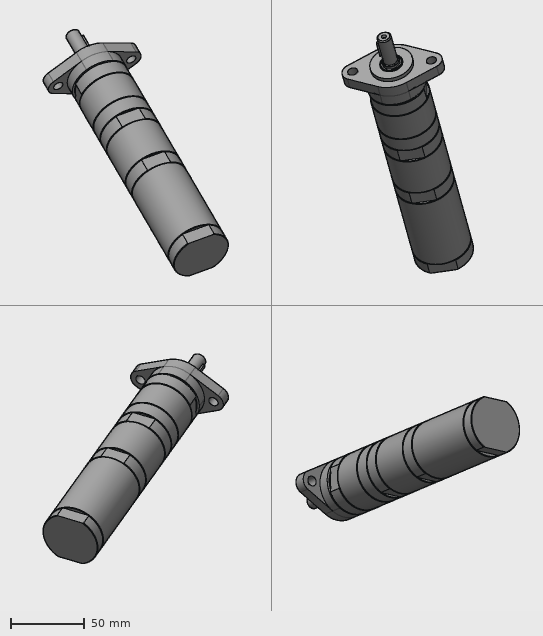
import cadquery as cq
import math

total_length = 211.2
body_d = 41.5
body_r = body_d / 2

shaft_d = 10.0
shaft_chamfer = 0.8
center_hole_d = 1.6
center_mouth_d = 3.4
center_mouth_angle = 60.0
center_hole_depth = 3.2
cone_start = 23.0
cone_d = 11.5
collar_start = 23.7
collar_d = 12.0
key_start = 4.6
key_length = 12.9
key_width = 3.0
key_top = 6.1

pilot_start = 25.8
pilot_d = 30.0
ring_inner_d = 14.4
ring_outer_d = 16.0
ring_depth = 0.5

flange_start = 28.7
flange_thickness = 8.5
flange_end = flange_start + flange_thickness
flange_span = 70.0
bolt_offset = 27.5
bolt_hole_d = 7.0
lobe_r = flange_span / 2 - bolt_offset

neck_start = 45.5
neck_width = 1.0
neck_d = 38.0
seam_width = 0.5
seam_d = 40.5
rear_chamfer = 0.5

wrench_length = 10.1
wrench_across_flats = 37.5
side_wrench_start = neck_start + neck_width
first_top_wrench_start = 90.8
second_top_wrench_start = 132.2
plain_seam_start = 79.2
cap_start = 202.1
cap_across_flats = 36.3


def cylinder(diameter, start, end):
    """Solid cylinder on the X axis between two stations."""
    return cq.Workplane("YZ", origin=(start, 0, 0)).circle(diameter / 2).extrude(end - start)


def tube(inner_d, outer_d, start, length):
    """Ring of material on the X axis, used as a groove cutter."""
    return cylinder(outer_d, start, start + length).cut(cylinder(inner_d, start, start + length))


def flat_cutter(start, length, across_flats, turn=0):
    """Two slabs that leave parallel flats; they face +Z and -Z before the turn about X."""
    middle = (start + length / 2, 0, 0)
    outside = cq.Workplane("XY", origin=middle).box(length, 2 * body_d, 2 * body_d)
    kept = cq.Workplane("XY", origin=middle).box(length, 2 * body_d, across_flats)
    return outside.cut(kept).rotate((0, 0, 0), (1, 0, 0), turn)


def make_shaft():
    """Stepped shaft as a half profile turned about X, with the key added."""
    shaft_r = shaft_d / 2
    mouth_step = (center_mouth_d - center_hole_d) / 2
    mouth_depth = mouth_step / math.tan(math.radians(center_mouth_angle / 2))
    profile = [
        (center_hole_depth, 0),
        (center_hole_depth, center_hole_d / 2),
        (mouth_depth, center_hole_d / 2),
        (0, center_mouth_d / 2),
        (0, shaft_r - shaft_chamfer),
        (shaft_chamfer, shaft_r),
        (cone_start, shaft_r),
        (collar_start, cone_d / 2),
        (collar_start, collar_d / 2),
        (flange_start, collar_d / 2),
        (flange_start, 0),
    ]
    shaft = cq.Workplane("XY").polyline(profile).close().revolve(360, (0, 0, 0), (1, 0, 0))
    key = (
        cq.Workplane("XZ", origin=(key_start + key_length / 2, key_top, 0))
        .slot2D(key_length, key_width)
        .extrude(key_top - shaft_r / 2)
    )
    return shaft.union(key)


def make_flange():
    """Plate with edges tangent to the centre circle and both lobes, and the round hub behind it."""
    sin_tangent = (body_r - lobe_r) / bolt_offset
    cos_tangent = math.sqrt(1 - sin_tangent**2)
    hub_y, hub_z = body_r * sin_tangent, body_r * cos_tangent
    lobe_y, lobe_z = bolt_offset + lobe_r * sin_tangent, lobe_r * cos_tangent
    tip_y = flange_span / 2
    block = (
        cq.Workplane("YZ", origin=(flange_start, 0, 0))
        .moveTo(-hub_y, hub_z)
        .threePointArc((0, body_r), (hub_y, hub_z))
        .lineTo(lobe_y, lobe_z)
        .threePointArc((tip_y, 0), (lobe_y, -lobe_z))
        .lineTo(hub_y, -hub_z)
        .threePointArc((0, -body_r), (-hub_y, -hub_z))
        .lineTo(-lobe_y, -lobe_z)
        .threePointArc((-tip_y, 0), (-lobe_y, lobe_z))
        .close()
        .pushPoints([(-bolt_offset, 0), (bolt_offset, 0)])
        .circle(bolt_hole_d / 2)
        .extrude(neck_start - flange_start)
    )
    return block.cut(tube(body_d, 2 * flange_span, flange_end, neck_start - flange_end))


def make_housing():
    """Long round housing behind the flange hub, with its grooves and wrench flats."""
    housing = cylinder(body_d, neck_start, total_length).faces(">X").chamfer(rear_chamfer)
    housing = housing.cut(tube(neck_d, 2 * body_d, neck_start, neck_width))

    seam_starts = [
        side_wrench_start + wrench_length,
        plain_seam_start,
        first_top_wrench_start - seam_width,
        first_top_wrench_start + wrench_length,
        second_top_wrench_start - seam_width,
        second_top_wrench_start + wrench_length,
        cap_start - seam_width,
    ]
    for start in seam_starts:
        housing = housing.cut(tube(seam_d, 2 * body_d, start, seam_width))

    housing = housing.cut(flat_cutter(side_wrench_start, wrench_length, wrench_across_flats, turn=90))
    for start in (first_top_wrench_start, second_top_wrench_start):
        housing = housing.cut(flat_cutter(start, wrench_length, wrench_across_flats))
    return housing.cut(flat_cutter(cap_start, total_length - cap_start, cap_across_flats))


pilot = cylinder(pilot_d, pilot_start, flange_start)
pilot = pilot.cut(tube(ring_inner_d, ring_outer_d, pilot_start, ring_depth))

result = make_housing().union(make_flange()).union(pilot).union(make_shaft())